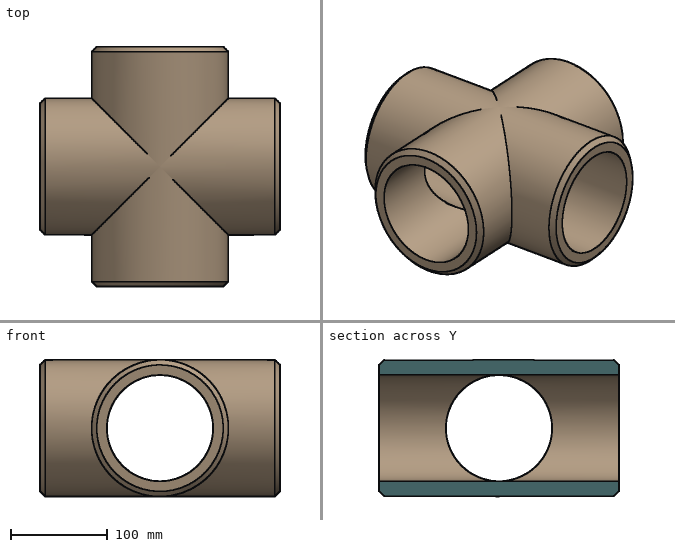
import cadquery as cq

overall_length = 247.9
outer_diameter = 141.3
wall_thickness = 15.88
bevel_size = 5.3

bore_diameter = outer_diameter - 2 * wall_thickness


def centred_cylinder(plane_name, diameter):
    """Full-length cylinder, centred on the origin, normal to the named plane."""
    return cq.Workplane(plane_name).circle(diameter / 2).extrude(overall_length / 2, both=True)


def bevelled_run(plane_name):
    """Solid straight run with a bevelled outer edge at both ends."""
    return centred_cylinder(plane_name, outer_diameter).edges("%CIRCLE").chamfer(bevel_size)


result = bevelled_run("YZ").union(bevelled_run("XZ"))

for run_plane in ("YZ", "XZ"):
    result = result.cut(centred_cylinder(run_plane, bore_diameter))